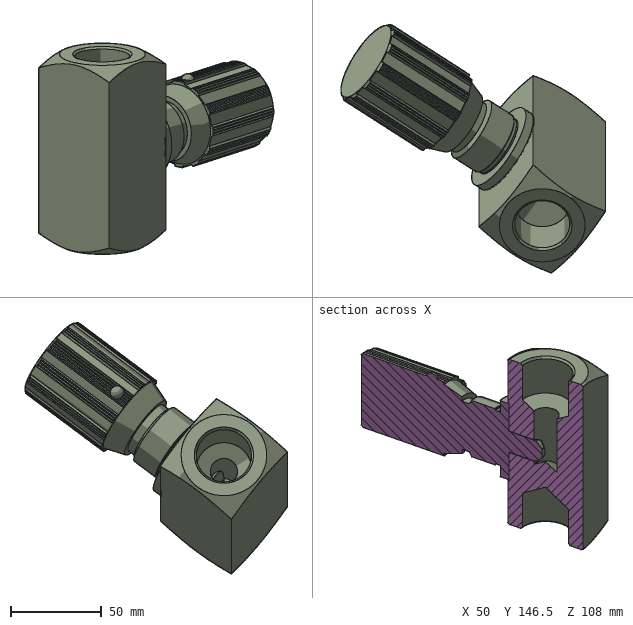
import cadquery as cq
import math

block_width = 50.0
block_height = 108.0
half_width = block_width / 2
half_height = block_height / 2
end_face_diameter = 47.2
end_slope = 30.0

port_mouth_diameter = 32.7
port_diameter = 30.3
port_mouth_chamfer = (port_mouth_diameter - port_diameter) / 2
port_depth = 23.5
drill_angle = 31.0
bore_diameter = 15.0
bore_floor_z = -8.8
poppet_height = 4.4

nose_diameter = 13.3
nose_tip_diameter = 6.0
nose_middle_diameter = 10.0
nose_tip_y = 27.1
nose_middle_y = 29.2
nose_start_y = 31.0
flange_recess = 0.63
flange_start_y = block_width - flange_recess
flange_end_y = 55.0
collar_end_y = 55.8
relief_end_y = 57.9
barrel_end_y = 73.7
neck_start_y = 75.3
skirt_start_y = 80.0
grip_start_y = 91.9
grip_end_y = 146.5
flange_diameter = block_width
collar_diameter = 35.3
relief_diameter = 35.0
barrel_diameter = 37.0
barrel_edge_chamfer = 0.5
neck_diameter = 31.6
skirt_small_diameter = 37.2
skirt_large_diameter = 45.1
skirt_bulge = 0.1

crest_radius = 49.4 / 2
tooth_depth = 0.5
valley_radius = crest_radius - tooth_depth
smooth_radius = 23.5
grip_end_chamfer = 1.6
band_count = 12
band_pitch = 360.0 / band_count
index_band_angle = 90.0
tooth_pitch = 3.7
teeth_per_band = 4
teeth_in_index_band = 6

ball_diameter = 8.0
ball_y = 99.9
ball_center_z = 23.0


def turned_about_z(profile):
    """Revolve a closed (radius, z) profile about the vertical axis of the block."""
    outline = cq.Workplane("XZ").polyline(profile).close()
    return outline.revolve(360, (0, 0, 0), (0, 1, 0)).translate((0, half_width, 0))


def turned_ends():
    """The envelope that turns the corners off both ends of the bar."""
    face_radius = end_face_diameter / 2
    corner_radius = block_width
    shoulder_z = half_height - (corner_radius - face_radius) * math.tan(math.radians(end_slope))
    return turned_about_z([
        (0, -half_height),
        (face_radius, -half_height),
        (corner_radius, -shoulder_z),
        (corner_radius, shoulder_z),
        (face_radius, half_height),
        (0, half_height),
    ])


def port():
    """The upper port: chamfered mouth, straight wall and a drill-point bottom."""
    floor_z = half_height - port_depth
    tip_z = floor_z - port_diameter / 2 * math.tan(math.radians(drill_angle))
    return turned_about_z([
        (0, half_height),
        (port_mouth_diameter / 2, half_height),
        (port_diameter / 2, half_height - port_mouth_chamfer),
        (port_diameter / 2, floor_z),
        (0, tip_z),
    ])


def valve_chamber():
    """The bore below the upper port, with a conical poppet left standing on its floor."""
    bore = (
        cq.Workplane("XY", origin=(0, half_width, bore_floor_z))
        .circle(bore_diameter / 2)
        .extrude(half_height - port_depth - bore_floor_z)
    )
    poppet = turned_about_z([
        (0, bore_floor_z),
        (bore_diameter / 2, bore_floor_z),
        (0, bore_floor_z + poppet_height),
    ])
    return bore.cut(poppet)


def stem_disc(diameter, start_y, end_y):
    """A cylinder on the stem axis between two places along Y."""
    disc = cq.Workplane("XZ", origin=(0, start_y, 0)).circle(diameter / 2)
    return disc.extrude(start_y - end_y)


def nose():
    """The stepped needle inside the block; the block has a matching hole."""
    outline = cq.Workplane("XY").polyline([
        (0, nose_tip_y),
        (nose_tip_diameter / 2, nose_tip_y),
        (nose_middle_diameter / 2, nose_middle_y),
        (nose_diameter / 2, nose_start_y),
        (nose_diameter / 2, flange_start_y),
        (0, flange_start_y),
    ])
    return outline.close().revolve(360, (0, 0, 0), (0, 1, 0))


def make_block():
    bar = cq.Workplane("XY", origin=(0, half_width, 0)).box(block_width, block_width, block_height)
    upper_port = port()
    lower_port = upper_port.mirror("XY")
    return (
        bar.intersect(turned_ends())
        .cut(upper_port)
        .cut(lower_port)
        .cut(valve_chamber())
        .cut(nose())
        .cut(stem_disc(flange_diameter, flange_start_y, block_width))
    )


def stem():
    """The turned stem from the flange to the skirt below the grip."""
    barrel_radius = barrel_diameter / 2
    skirt_middle_y = (skirt_start_y + grip_start_y) / 2
    skirt_middle_radius = (skirt_small_diameter + skirt_large_diameter) / 4 + skirt_bulge
    outline = (
        cq.Workplane("XY")
        .moveTo(0, flange_start_y)
        .lineTo(flange_diameter / 2, flange_start_y)
        .lineTo(flange_diameter / 2, flange_end_y)
        .lineTo(collar_diameter / 2, flange_end_y)
        .lineTo(collar_diameter / 2, collar_end_y)
        .lineTo(relief_diameter / 2, collar_end_y)
        .lineTo(relief_diameter / 2, relief_end_y)
        .lineTo(barrel_radius - barrel_edge_chamfer, relief_end_y)
        .lineTo(barrel_radius, relief_end_y + barrel_edge_chamfer)
        .lineTo(barrel_radius, barrel_end_y)
        .lineTo(neck_diameter / 2, neck_start_y)
        .lineTo(neck_diameter / 2, skirt_start_y)
        .lineTo(skirt_small_diameter / 2, skirt_start_y)
        .threePointArc((skirt_middle_radius, skirt_middle_y), (skirt_large_diameter / 2, grip_start_y))
        .lineTo(0, grip_start_y)
        .close()
    )
    return outline.revolve(360, (0, 0, 0), (0, 1, 0))


def polar(radius, angle):
    return (radius * math.cos(math.radians(angle)), radius * math.sin(math.radians(angle)))


def grip_outline():
    """Cross-section of the grip, with the wider index band on the +Z side."""
    outline = cq.Workplane("XZ", origin=(0, grip_start_y, 0))
    centers = [index_band_angle + number * band_pitch for number in range(band_count)]
    tooth_counts = [teeth_in_index_band] + [teeth_per_band] * (band_count - 1)
    half_spans = [count * tooth_pitch / 2 for count in tooth_counts]
    first_edge = centers[0] - half_spans[0]
    outline = outline.moveTo(*polar(smooth_radius, first_edge))
    for number, center in enumerate(centers):
        start = center - half_spans[number]
        end = center + half_spans[number]
        for tooth in range(tooth_counts[number]):
            valley = start + tooth * tooth_pitch
            if tooth > 0:
                outline = outline.lineTo(*polar(valley_radius, valley))
            outline = outline.lineTo(*polar(crest_radius, valley + tooth_pitch / 2))
        outline = outline.lineTo(*polar(smooth_radius, end))
        following = (number + 1) % band_count
        next_edge = center + band_pitch - half_spans[following]
        outline = outline.threePointArc(
            polar(smooth_radius, (end + next_edge) / 2), polar(smooth_radius, next_edge)
        )
    return outline.close()


def grip():
    """The serrated grip with its free end chamfered."""
    envelope = stem_disc(2 * crest_radius, grip_start_y, grip_end_y)
    envelope = envelope.faces(">Y").chamfer(grip_end_chamfer)
    return grip_outline().extrude(grip_start_y - grip_end_y).intersect(envelope)


def make_control():
    ball = cq.Workplane("XY", origin=(0, ball_y, ball_center_z)).sphere(ball_diameter / 2)
    return nose().union(stem()).union(grip()).union(ball)


block = make_block()
control = make_control()
result = cq.Compound.makeCompound([*block.solids().vals(), *control.solids().vals()])